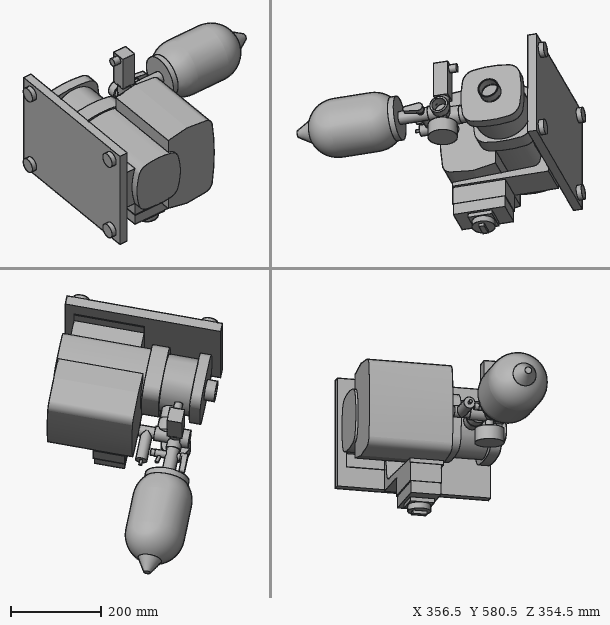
import cadquery as cq
import math


OVERALL_HEIGHT = 354.5

PLATE_LENGTH = 350.0
PLATE_HEIGHT = 250.0
PLATE_THICKNESS = 20.5
PLATE_END_X = 356.5
PLATE_FRONT_Y = -89.5
FOOT_RADIUS = 17.0
FOOT_LENGTH = 11.5
FOOT_INSET_X = 30.0
FOOT_INSET_Z = 25.0

INLET_RADIUS = 23.0
INLET_BORE_RADIUS = 21.0
INLET_LENGTH = 22.5
DRILL_POINT_ANGLE = 118
END_FLANGE_END_X = 47.0
CASING_RADIUS = 64.0
MOTOR_FLANGE_START_X = 116.0
MOTOR_START_X = 154.0
MOTOR_END_X = 354.5
FLANGE_SIDE = (69.5, 66.0, 40.5)
MOTOR_SIDE_Y = (60.5, 54.0, 44.5)
MOTOR_SIDE_Z = (66.0, 62.0, 35.5)
OUTLET_X = 90.0
OUTLET_RADIUS = 19.0
OUTLET_TOP_Y = 90.0
PEDESTAL_START_X = 178.5
PEDESTAL_END_X = 336.5
PEDESTAL_HALF_HEIGHT = 49.5
FOOT_PAD_HALF_HEIGHT = 79.5
FOOT_PAD_THICKNESS = 2.5

TERMINAL_START_X = 158.5
TERMINAL_END_X = 349.0
TERMINAL_BACK = (31.0, 96.0)
TERMINAL_WIDEST = (83.0, 107.0)
TERMINAL_CORNER_START = (133.0, 101.5)
TERMINAL_CORNER_MIDDLE = (148.0, 94.0)
TERMINAL_CORNER_END = (153.0, 83.5)
TERMINAL_FRONT_Y = 159.0

TANK_X = 66.0
FITTING_Y = 124.5
RISER_RADIUS = 20.5
RISER_CHAMFER = 5.0
PORT_START_X = 35.5
PORT_LENGTH = 19.0
PORT_BORE_DEPTH = 26.0
PORT_RADIUS = 20.5
PORT_BORE_RADIUS = 15.5
CROSS_RADIUS = 16.0
CROSS_END_X = 113.0
COLLAR_RADIUS = 16.0
COLLAR_TOP_Y = 156.0
SWITCH_BOX_SIZE = 33.0
SWITCH_BOX_BOTTOM_Z = 33.0
SWITCH_BOX_TOP_Z = 118.0
SWITCH_STEM_RADIUS = 15.0
BOX_KNOB_RADIUS = 9.0
BOX_KNOB_Z = 107.0
BOX_KNOB_END_Y = 91.5
GAUGE_STEM_RADIUS = 9.0
GAUGE_NUT_RADIUS = 11.0
GAUGE_NUT_TOP_Z = -28.0
GAUGE_TOP_Z = -35.0
GAUGE_BOTTOM_Z = -66.5
GAUGE_RADIUS = 32.5

SENSOR_RADIUS = 13.0
SENSOR_X = 130.5
SENSOR_PIPE_END_X = 148.5
SENSOR_TOP_Y = 195.0
SENSOR_PIN_RADIUS = 3.5
SENSOR_PIN_TOP_Y = 206.0

TANK_PIPE_RADIUS = 14.5
VALVE_Y = 171.0
VALVE_PIPE_RADIUS = 8.0
VALVE_PIPE_END_X = 104.0
VALVE_CAP_RADIUS = 7.5
VALVE_CAP_END_X = 113.5
LEVER_START_X = 31.5
LEVER_THICKNESS = 12.0
LEVER_HUB_RADIUS = 10.0
LEVER_HUB_END_X = 47.0
LEVER_TIP_Y = 206.5
LEVER_TIP_RADIUS = 6.0
DRAIN_X = 91.5
DRAIN_RADIUS = 4.0
DRAIN_LENGTH = 22.5
DRAIN_TILT = 12

TANK_RADIUS = 131.5 / 2
TANK_FLANGE_RADIUS = 49.5
TANK_FLANGE_BOTTOM_Y = 224.0
TANK_FLANGE_TOP_Y = 237.0
TANK_WALL_BOTTOM_Y = 281.5
TANK_WALL_TOP_Y = 366.5
TANK_CONE_BASE_Y = 427.0
TANK_TOP_Y = 459.0
TANK_TIP_RADIUS = 7.5

BRACKET_START_X = 173.5
BRACKET_END_X = 250.0
BRACKET_OUTER_Z = -129.5
BRACKET_FOOT_TOP_Z = -61.0
BRACKET_FOOT_FRONT_Y = -74.0
BRACKET_CORNER = (-65.5, -110.0)
BRACKET_FILLET = 17.5
BRACKET_ARM_END_Y = 134.5
BRACKET_ARM_END_Z = -119.5
CONTROL_BODY = (179.0, 250.0, 14.5, 136.0)
CONTROL_COVER = (180.0, 247.5, 15.5, 134.5)
CONTROL_BODY_BOTTOM_Z = -171.5
CONTROL_COVER_BOTTOM_Z = -199.0
DIAL_X = 213.5
DIAL_Y = 75.0
DIAL_PLATE_SIZE = 55.0
DIAL_PLATE_BOTTOM_Z = -208.0
DIAL_RADIUS = 25.5
DIAL_BOTTOM_Z = -222.0
DIAL_GRIP_LENGTH = 32.5
DIAL_GRIP_WIDTH = 12.0
DIAL_GRIP_BOTTOM_Z = PLATE_HEIGHT / 2 - OVERALL_HEIGHT


def rod_x(radius, x0, x1, y=0, z=0):
    """Cylinder along X."""
    return cq.Workplane("YZ", origin=(x0, y, z)).circle(radius).extrude(x1 - x0)


def rod_y(radius, y0, y1, x, z=0):
    """Cylinder along Y."""
    return cq.Workplane("XZ", origin=(x, y0, z)).circle(radius).extrude(y0 - y1)


def rod_z(radius, z0, z1, x, y):
    """Cylinder along Z."""
    return cq.Workplane("XY", origin=(x, y, z0)).circle(radius).extrude(z1 - z0)


def block(x0, x1, y0, y1, z0, z1):
    """Box between two opposite corners."""
    return cq.Workplane("XY").box(x1 - x0, y1 - y0, z1 - z0, centered=False).translate((x0, y0, z0))


def drilled_hole_x(radius, x0, depth, y=0):
    """Cutter for a hole along X from x0, with a drill point past its full depth."""
    point = radius / math.tan(math.radians(DRILL_POINT_ANGLE / 2))
    outline = cq.Workplane("XY", origin=(x0, y, 0)).polyline(
        [(0, 0), (0, radius), (depth, radius), (depth + point, 0)]
    ).close()
    return outline.revolve(360, (0, 0, 0), (1, 0, 0))


def side_slope(side):
    """Angle by which a bulging side has turned at its ends."""
    middle, end, half_length = side
    return 2 * math.atan((middle - end) / half_length)


def rounded_bar(side_y, side_z, x0, x1):
    """Bar along X whose section is a rectangle with bulging sides and round corners."""
    apex_y, end_y, half_y = side_y
    apex_z, end_z, half_z = side_z
    chord_y = end_y - half_z
    chord_z = end_z - half_y
    corner_turn = math.pi / 2 - side_slope(side_y) - side_slope(side_z)
    standoff = math.tan(corner_turn / 4) / 2
    corner_y = (end_y + half_z) / 2 + standoff * chord_z
    corner_z = (end_z + half_y) / 2 + standoff * chord_y

    section = cq.Workplane("YZ", origin=(x0, 0, 0)).moveTo(end_y, -half_y)
    section = section.threePointArc((apex_y, 0), (end_y, half_y))
    section = section.threePointArc((corner_y, corner_z), (half_z, end_z))
    section = section.threePointArc((0, apex_z), (-half_z, end_z))
    section = section.threePointArc((-corner_y, corner_z), (-end_y, half_y))
    section = section.threePointArc((-apex_y, 0), (-end_y, -half_y))
    section = section.threePointArc((-corner_y, -corner_z), (-half_z, -end_z))
    section = section.threePointArc((0, -apex_z), (half_z, -end_z))
    section = section.threePointArc((corner_y, -corner_z), (end_y, -half_y))
    return section.close().extrude(x1 - x0)


def make_base():
    """Rectangular plate on four round feet."""
    start_x = PLATE_END_X - PLATE_LENGTH
    back_y = PLATE_FRONT_Y - PLATE_THICKNESS
    half_height = PLATE_HEIGHT / 2
    base = block(start_x, PLATE_END_X, back_y, PLATE_FRONT_Y, -half_height, half_height)
    foot_z = half_height - FOOT_INSET_Z
    for x in (start_x + FOOT_INSET_X, PLATE_END_X - FOOT_INSET_X):
        for z in (-foot_z, foot_z):
            base = base.union(rod_y(FOOT_RADIUS, back_y - FOOT_LENGTH, back_y, x, z))
    return base


def make_terminal_box():
    """Prism along X, symmetric about Z = 0, with a bulging front."""
    def mirrored(point):
        return (point[0], -point[1])

    section = cq.Workplane("YZ", origin=(TERMINAL_START_X, 0, 0))
    section = section.moveTo(*TERMINAL_BACK).lineTo(*TERMINAL_WIDEST).lineTo(*TERMINAL_CORNER_START)
    section = section.threePointArc(TERMINAL_CORNER_MIDDLE, TERMINAL_CORNER_END)
    section = section.threePointArc((TERMINAL_FRONT_Y, 0), mirrored(TERMINAL_CORNER_END))
    section = section.threePointArc(mirrored(TERMINAL_CORNER_MIDDLE), mirrored(TERMINAL_CORNER_START))
    section = section.lineTo(*mirrored(TERMINAL_WIDEST)).lineTo(*mirrored(TERMINAL_BACK)).close()
    return section.extrude(TERMINAL_END_X - TERMINAL_START_X)


def make_pump():
    """Pump casing, motor, terminal box and the pedestal on which they stand."""
    pump = rounded_bar(MOTOR_SIDE_Y, MOTOR_SIDE_Z, MOTOR_START_X, MOTOR_END_X)
    for x0, x1 in ((INLET_LENGTH, END_FLANGE_END_X), (MOTOR_FLANGE_START_X, MOTOR_START_X)):
        pump = pump.union(rounded_bar(FLANGE_SIDE, FLANGE_SIDE, x0, x1))
    pump = pump.union(rod_x(CASING_RADIUS, END_FLANGE_END_X, MOTOR_FLANGE_START_X))
    pump = pump.union(make_terminal_box())
    pump = pump.union(rod_y(OUTLET_RADIUS, 0, OUTLET_TOP_Y, OUTLET_X))

    pad_front_y = PLATE_FRONT_Y + FOOT_PAD_THICKNESS
    pump = pump.union(block(
        PEDESTAL_START_X, PEDESTAL_END_X, pad_front_y, 0, -PEDESTAL_HALF_HEIGHT, PEDESTAL_HALF_HEIGHT
    ))
    pump = pump.union(block(
        PEDESTAL_START_X, PEDESTAL_END_X, PLATE_FRONT_Y, pad_front_y,
        -FOOT_PAD_HALF_HEIGHT, FOOT_PAD_HALF_HEIGHT,
    ))

    pump = pump.union(rod_x(INLET_RADIUS, 0, INLET_LENGTH))
    return pump.cut(drilled_hole_x(INLET_BORE_RADIUS, 0, INLET_LENGTH))


def make_tank():
    """Tank with two spherical ends, a foot flange and a conical tip."""
    cone_base_radius = math.sqrt(TANK_RADIUS**2 - (TANK_CONE_BASE_Y - TANK_WALL_TOP_Y) ** 2)
    bottom_radius = math.sqrt(TANK_RADIUS**2 - (TANK_WALL_BOTTOM_Y - TANK_FLANGE_TOP_Y) ** 2)
    diagonal = TANK_RADIUS / math.sqrt(2)
    outline = cq.Workplane("XY", origin=(TANK_X, 0, 0)).moveTo(0, TANK_FLANGE_BOTTOM_Y)
    outline = outline.lineTo(TANK_FLANGE_RADIUS, TANK_FLANGE_BOTTOM_Y)
    outline = outline.lineTo(TANK_FLANGE_RADIUS, TANK_FLANGE_TOP_Y).lineTo(bottom_radius, TANK_FLANGE_TOP_Y)
    half_turn = math.acos(bottom_radius / TANK_RADIUS) / 2
    outline = outline.threePointArc(
        (TANK_RADIUS * math.cos(half_turn), TANK_WALL_BOTTOM_Y - TANK_RADIUS * math.sin(half_turn)),
        (TANK_RADIUS, TANK_WALL_BOTTOM_Y),
    )
    outline = outline.lineTo(TANK_RADIUS, TANK_WALL_TOP_Y)
    outline = outline.threePointArc(
        (diagonal, TANK_WALL_TOP_Y + diagonal), (cone_base_radius, TANK_CONE_BASE_Y)
    )
    outline = outline.lineTo(TANK_TIP_RADIUS, TANK_TOP_Y).lineTo(0, TANK_TOP_Y).close()
    return outline.revolve(360, (0, 0, 0), (0, 1, 0))


def make_lever():
    """Flat tapered valve lever with round ends, on a round hub."""
    reach = LEVER_TIP_Y - LEVER_TIP_RADIUS - VALVE_Y
    taper = math.asin((LEVER_HUB_RADIUS - LEVER_TIP_RADIUS) / reach)
    hub_y = LEVER_HUB_RADIUS * math.sin(taper)
    hub_z = LEVER_HUB_RADIUS * math.cos(taper)
    tip_y = reach + LEVER_TIP_RADIUS * math.sin(taper)
    tip_z = LEVER_TIP_RADIUS * math.cos(taper)
    outline = cq.Workplane("YZ", origin=(LEVER_START_X, VALVE_Y, 0)).moveTo(hub_y, hub_z)
    outline = outline.lineTo(tip_y, tip_z)
    outline = outline.threePointArc((reach + LEVER_TIP_RADIUS, 0), (tip_y, -tip_z))
    outline = outline.lineTo(hub_y, -hub_z)
    outline = outline.threePointArc((-LEVER_HUB_RADIUS, 0), (hub_y, hub_z)).close()
    hub = rod_x(LEVER_HUB_RADIUS, LEVER_START_X, LEVER_HUB_END_X, VALVE_Y)
    return outline.extrude(LEVER_THICKNESS).union(hub)


def make_valve():
    """Pipe across the tank pipe, with a lever at one end, a cap at the other and a drain nipple."""
    valve = rod_x(VALVE_PIPE_RADIUS, LEVER_HUB_END_X, VALVE_PIPE_END_X, VALVE_Y)
    valve = valve.union(rod_x(VALVE_CAP_RADIUS, VALVE_PIPE_END_X, VALVE_CAP_END_X, VALVE_Y))
    drain = rod_y(DRAIN_RADIUS, VALVE_Y, VALVE_Y + DRAIN_LENGTH, DRAIN_X)
    drain = drain.rotate((DRAIN_X, VALVE_Y, 0), (DRAIN_X, VALVE_Y, 1), -DRAIN_TILT)
    return valve.union(drain).union(make_lever())


def make_pressure_switch():
    """Square box above the fitting, with a round knob on its back."""
    half = SWITCH_BOX_SIZE / 2
    switch = block(
        TANK_X - half, TANK_X + half, FITTING_Y - half, FITTING_Y + half,
        SWITCH_BOX_BOTTOM_Z, SWITCH_BOX_TOP_Z,
    )
    switch = switch.union(rod_z(SWITCH_STEM_RADIUS, 0, SWITCH_BOX_BOTTOM_Z, TANK_X, FITTING_Y))
    return switch.union(rod_y(BOX_KNOB_RADIUS, BOX_KNOB_END_Y, FITTING_Y, TANK_X, BOX_KNOB_Z))


def make_gauge():
    """Round gauge below the fitting."""
    gauge = rod_z(GAUGE_STEM_RADIUS, GAUGE_NUT_TOP_Z, 0, TANK_X, FITTING_Y)
    gauge = gauge.union(rod_z(GAUGE_NUT_RADIUS, GAUGE_TOP_Z, GAUGE_NUT_TOP_Z, TANK_X, FITTING_Y))
    return gauge.union(rod_z(GAUGE_RADIUS, GAUGE_BOTTOM_Z, GAUGE_TOP_Z, TANK_X, FITTING_Y))


def make_sensor():
    """Upright cylinder with a pin, on a pipe that extends the fitting."""
    sensor = rod_x(SENSOR_RADIUS, CROSS_END_X, SENSOR_PIPE_END_X, FITTING_Y)
    sensor = sensor.union(rod_y(SENSOR_RADIUS, FITTING_Y, SENSOR_TOP_Y, SENSOR_X))
    return sensor.union(rod_y(SENSOR_PIN_RADIUS, SENSOR_TOP_Y, SENSOR_PIN_TOP_Y, SENSOR_X))


def make_tank_assembly():
    """Tank, its pipe and valve, and the fitting that stands on the pump outlet."""
    riser = rod_y(RISER_RADIUS, OUTLET_TOP_Y, FITTING_Y, OUTLET_X).faces(">Y").chamfer(RISER_CHAMFER)
    assembly = riser.union(rod_x(CROSS_RADIUS, PORT_START_X + PORT_LENGTH, CROSS_END_X, FITTING_Y))
    assembly = assembly.union(rod_y(COLLAR_RADIUS, FITTING_Y, COLLAR_TOP_Y, TANK_X))
    assembly = assembly.union(rod_y(TANK_PIPE_RADIUS, COLLAR_TOP_Y, TANK_FLANGE_BOTTOM_Y, TANK_X))
    assembly = assembly.union(rod_x(PORT_RADIUS, PORT_START_X, PORT_START_X + PORT_LENGTH, FITTING_Y))
    for part in (make_pressure_switch(), make_gauge(), make_sensor(), make_valve(), make_tank()):
        assembly = assembly.union(part)
    return assembly.cut(drilled_hole_x(PORT_BORE_RADIUS, PORT_START_X, PORT_BORE_DEPTH, FITTING_Y))


def make_control_unit():
    """Angle bracket that carries a stepped control box with a dial."""
    foot_back_y = PLATE_FRONT_Y + FOOT_PAD_THICKNESS
    bracket = cq.Workplane("YZ", origin=(BRACKET_START_X, 0, 0)).polyline([
        (foot_back_y, BRACKET_OUTER_Z),
        (foot_back_y, BRACKET_FOOT_TOP_Z),
        (BRACKET_FOOT_FRONT_Y, BRACKET_FOOT_TOP_Z),
        BRACKET_CORNER,
        (BRACKET_ARM_END_Y, BRACKET_ARM_END_Z),
        (BRACKET_ARM_END_Y, BRACKET_OUTER_Z),
    ]).close().extrude(BRACKET_END_X - BRACKET_START_X)
    inner_corner = cq.NearestToPointSelector((DIAL_X, *BRACKET_CORNER))
    unit = bracket.edges(inner_corner).fillet(BRACKET_FILLET)

    unit = unit.union(block(*CONTROL_BODY, CONTROL_BODY_BOTTOM_Z, BRACKET_OUTER_Z))
    unit = unit.union(block(*CONTROL_COVER, CONTROL_COVER_BOTTOM_Z, CONTROL_BODY_BOTTOM_Z))
    half = DIAL_PLATE_SIZE / 2
    unit = unit.union(block(
        DIAL_X - half, DIAL_X + half, DIAL_Y - half, DIAL_Y + half,
        DIAL_PLATE_BOTTOM_Z, CONTROL_COVER_BOTTOM_Z,
    ))
    unit = unit.union(rod_z(DIAL_RADIUS, DIAL_BOTTOM_Z, DIAL_PLATE_BOTTOM_Z, DIAL_X, DIAL_Y))
    half_length = DIAL_GRIP_LENGTH / 2
    half_width = DIAL_GRIP_WIDTH / 2
    return unit.union(block(
        DIAL_X - half_length, DIAL_X + half_length, DIAL_Y - half_width, DIAL_Y + half_width,
        DIAL_GRIP_BOTTOM_Z, DIAL_BOTTOM_Z,
    ))


base = make_base()
pump = make_pump()
tank_assembly = make_tank_assembly()
control_unit = make_control_unit()

result = cq.Compound.makeCompound([
    base.solids().val(),
    pump.solids().val(),
    tank_assembly.solids().val(),
    control_unit.solids().val(),
])